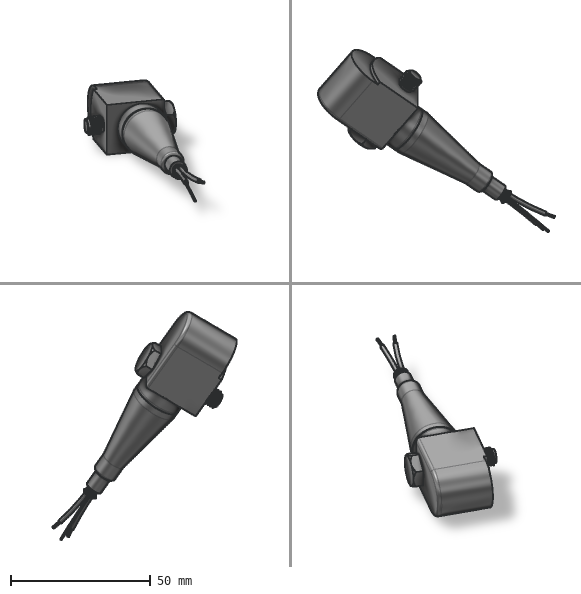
import cadquery as cq
import math


total_length = 98.9

body_length = 29.3
body_height = 19.1
nose_radius = body_height / 2
body_back = 9.0
body_depth = 21.9
body_front = body_back - body_depth
body_fillet = 1.3
step_depth = 1.3
step_radius = 14.8

bolt_x = 23.3
head_flats = 11.4
head_corners = head_flats / math.cos(math.pi / 6)
head_thickness = 3.7
head_bevel_width = 0.9
head_bevel_height = 1.0
collar_diameter = 8.9
collar_thickness = 0.5
stud_length = 6.1
thread_diameter = 6.7
thread_root_diameter = 5.3
thread_pitch = 1.0
thread_base_width = 0.8
thread_sink = 0.1
thread_turns = 5
thread_start = 0.5
stud_tip_chamfer = 0.2

boot_radius = 17.5 / 2
sleeve_start = nose_radius
sleeve_round_start = 33.7
sleeve_end = 34.6
sleeve_drop = 0.2
cone_start = 37.0
cone_end = 63.8
boot_tip_radius = 8.7 / 2
boot_tip_fillet = 1.1
boot_end = 70.3
cable_radius = 6.2 / 2
cable_end = 76.7

shield_strand_diameter = 0.13
shield_strands = 90
shield_root_radius = 2.0
shield_tip_radius = 2.7
shield_bend_start = 77.7
shield_end = 79.5
root_embed = 0.3

strand_diameter = 0.21
outer_strands = 6
wire_y = 0.9
wire_z = 0.4
wire_rise_y = 2.3
wire_rise_z = 2.0
wire_tilt = 2 * math.atan(math.hypot(wire_rise_y, wire_rise_z) / (total_length - cable_end))
wire_end = total_length - strand_diameter / 2 * math.sin(wire_tilt)
insulation_diameter = 1.6
insulation_end = 95.3
core_spacing = 0.38
drain_z = -1.2
drain_drop = 3.3
drain_end = 98.7
drain_spacing = 0.26


def revolve_about_x(profile):
    return profile.close().revolve(360, (0, 0, 0), (1, 0, 0))


def make_body():
    outline = (
        cq.Workplane("XZ", origin=(0, body_back, 0))
        .moveTo(nose_radius, nose_radius)
        .lineTo(body_length, nose_radius)
        .lineTo(body_length, -nose_radius)
        .lineTo(nose_radius, -nose_radius)
        .threePointArc((0, 0), (nose_radius, nose_radius))
        .close()
    )
    block = outline.extrude(body_depth).faces(">Y").edges().fillet(body_fillet)

    front = cq.Workplane("XZ", origin=(0, body_front + step_depth, 0))
    nose_slab = front.rect(2 * bolt_x, 2 * body_height).extrude(step_depth)
    kept_disc = front.center(bolt_x, 0).circle(step_radius).extrude(step_depth)
    return block.cut(nose_slab.cut(kept_disc))


def make_bolt_head():
    seat = body_back + collar_thickness
    top = seat + head_thickness
    collar = (
        cq.Workplane("XZ", origin=(bolt_x, seat, 0))
        .circle(collar_diameter / 2)
        .extrude(collar_thickness)
    )
    hexagon = (
        cq.Workplane("XZ", origin=(bolt_x, top, 0))
        .transformed(rotate=(0, 0, 90))
        .polygon(6, head_corners)
        .extrude(head_thickness)
    )
    blank = (
        cq.Workplane("XZ", origin=(bolt_x, top, 0))
        .circle(head_corners / 2)
        .extrude(head_thickness)
        .faces(">Y")
        .chamfer(head_bevel_height, head_bevel_width)
    )
    return hexagon.intersect(blank).union(collar)


def make_stud():
    root_radius = thread_root_diameter / 2
    core = (
        cq.Workplane("XY")
        .circle(root_radius)
        .extrude(stud_length)
        .faces(">Z")
        .chamfer(stud_tip_chamfer)
    )
    helix = cq.Wire.makeHelix(thread_pitch, thread_turns * thread_pitch, root_radius)
    ridge = (
        cq.Workplane("XZ")
        .moveTo(root_radius - thread_sink, -thread_base_width / 2)
        .lineTo(thread_diameter / 2, 0)
        .lineTo(root_radius - thread_sink, thread_base_width / 2)
        .close()
        .sweep(helix, isFrenet=True)
        .translate((0, 0, thread_start))
    )
    stud = core.union(ridge)
    return stud.rotate((0, 0, 0), (1, 0, 0), 90).translate((bolt_x, body_front, 0))


def make_sleeve_and_boot():
    sleeve_round = (sleeve_drop**2 + (sleeve_end - sleeve_round_start) ** 2) / (2 * sleeve_drop)
    sleeve = revolve_about_x(
        cq.Workplane("XY")
        .moveTo(sleeve_start, 0)
        .lineTo(sleeve_start, boot_radius)
        .lineTo(sleeve_round_start, boot_radius)
        .radiusArc((sleeve_end, boot_radius - sleeve_drop), sleeve_round)
        .lineTo(sleeve_end, 0)
    )
    boot = revolve_about_x(
        cq.Workplane("XY")
        .moveTo(sleeve_end, 0)
        .lineTo(sleeve_end, boot_radius)
        .lineTo(cone_start, boot_radius)
        .lineTo(cone_end, boot_tip_radius)
        .lineTo(boot_end, boot_tip_radius)
        .lineTo(boot_end, 0)
    )
    boot = boot.faces(">X").edges().fillet(boot_tip_fillet)
    cable = (
        cq.Workplane("YZ", origin=(cone_end, 0, 0))
        .circle(cable_radius)
        .extrude(cable_end - cone_end)
    )
    return sleeve.union(boot).union(cable)


def make_shield():
    root_x = cable_end - root_embed
    path = (
        cq.Workplane("XZ")
        .moveTo(root_x, shield_root_radius)
        .lineTo(shield_bend_start, shield_root_radius)
        .tangentArcPoint((shield_end, shield_tip_radius), relative=False)
    )
    strand = (
        cq.Workplane("YZ", origin=(root_x, 0, shield_root_radius))
        .circle(shield_strand_diameter / 2)
        .sweep(path)
    )
    turn = 360 / shield_strands
    return [strand.rotate((0, 0, 0), (1, 0, 0), i * turn) for i in range(shield_strands)]


def bent_rod(start_y, start_z, rise_y, rise_z, end_x, diameter):
    """Round rod that leaves the cable along X and bends on an arc.

    The rises are reached at wire_end; a shorter rod follows the same arc.
    """
    root_x = cable_end - root_embed
    run = wire_end - root_x
    rise = math.hypot(rise_y, rise_z)
    bend_radius = (run**2 + rise**2) / (2 * rise)
    reach = end_x - root_x
    offset = bend_radius - math.sqrt(bend_radius**2 - reach**2)
    start = cq.Vector(root_x, start_y, start_z)
    end = start + cq.Vector(reach, offset * rise_y / rise, offset * rise_z / rise)
    arc = cq.Edge.makeTangentArc(start, cq.Vector(1, 0, 0), end)
    section = cq.Workplane("YZ", origin=start.toTuple()).circle(diameter / 2)
    return section.sweep(cq.Wire.assembleEdges([arc]))


def strand_bundle(start_y, start_z, rise_y, rise_z, end_x, spacing):
    """One strand in the middle with the outer strands around it."""
    middle = bent_rod(start_y, start_z, rise_y, rise_z, end_x, strand_diameter)
    strands = [middle]
    for i in range(outer_strands):
        angle = i * 2 * math.pi / outer_strands
        shift = (0, spacing * math.cos(angle), spacing * math.sin(angle))
        strands.append(middle.translate(shift))
    return strands


def make_wires():
    wires = []
    for side in (1, -1):
        bend = (side * wire_y, wire_z, side * wire_rise_y, wire_rise_z)
        wires.append(bent_rod(*bend, insulation_end, insulation_diameter))
        wires += strand_bundle(*bend, wire_end, core_spacing)
    return wires + strand_bundle(0, drain_z, 0, -drain_drop, drain_end, drain_spacing)


parts = [make_sleeve_and_boot(), make_bolt_head(), make_stud()]
parts += make_shield() + make_wires()
fused = make_body().val().fuse(*[part.val() for part in parts])
result = cq.Workplane(fused.Solids()[0])